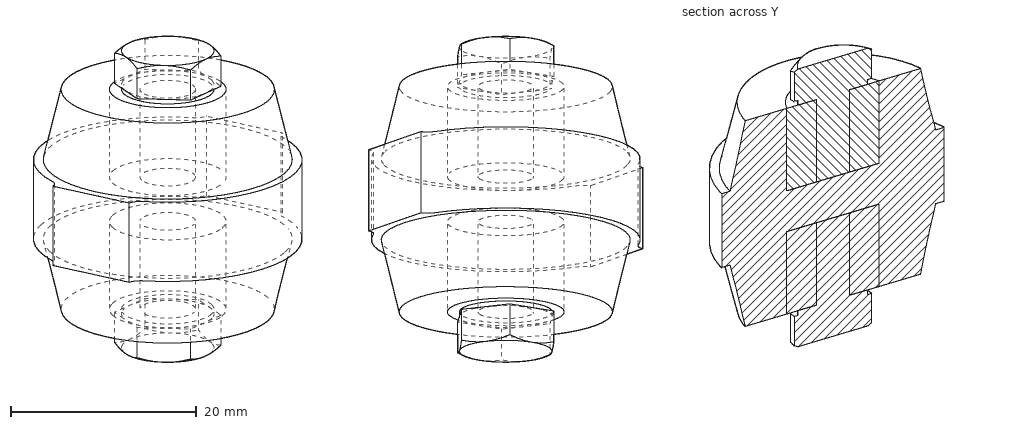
import cadquery as cq
import math


total_height = 33.75
housing_height = 25.0
end_diameter = 23.02
shoulder_diameter = 26.85
ring_diameter = 29.0
ring_height = 9.0

pad_width = 10.0
pad_blend_radius = 1.8

insert_diameter = 12.6
insert_length = 10.0
hex_across_flats = 10.0
collar_diameter = 10.0
collar_height = 0.5
shank_diameter = 6.0
head_chamfer_angle = 30.0

housing_top = housing_height / 2
ring_top = ring_height / 2
ring_radius = ring_diameter / 2
insert_bottom = housing_top - insert_length
head_bottom = housing_top + collar_height
head_top = total_height / 2
head_height = head_top - head_bottom
hex_across_corners = hex_across_flats / math.cos(math.radians(30))


def make_shoulders():
    """Double cone through the ring, narrow at both ends."""
    return (
        cq.Workplane("XZ")
        .moveTo(0, -housing_top)
        .lineTo(end_diameter / 2, -housing_top)
        .lineTo(shoulder_diameter / 2, -ring_top)
        .lineTo(shoulder_diameter / 2, ring_top)
        .lineTo(end_diameter / 2, housing_top)
        .lineTo(0, housing_top)
        .close()
        .revolve(360, (0, 0), (0, 1))
    )


def pad_blend():
    """Middle and end point of the blend arc beside the right edge of the +Y pad.

    The arc starts at the pad corner and runs tangent into the ring circle, so its
    centre is one blend radius from the corner and from the ring circle.
    """
    corner_x = pad_width / 2
    corner_y = ring_radius
    corner_reach = math.hypot(corner_x, corner_y)
    centre_reach = ring_radius + pad_blend_radius
    cosine = (corner_reach**2 + centre_reach**2 - pad_blend_radius**2) / (2 * corner_reach * centre_reach)
    centre_angle = math.atan2(corner_y, corner_x) - math.acos(cosine)
    centre_x = centre_reach * math.cos(centre_angle)
    centre_y = centre_reach * math.sin(centre_angle)

    start_angle = math.atan2(corner_y - centre_y, corner_x - centre_x) % (2 * math.pi)
    end_angle = centre_angle + math.pi
    middle_angle = (start_angle + end_angle) / 2
    middle = (
        centre_x + pad_blend_radius * math.cos(middle_angle),
        centre_y + pad_blend_radius * math.sin(middle_angle),
    )
    end = (ring_radius * math.cos(centre_angle), ring_radius * math.sin(centre_angle))
    return middle, end


def make_ring():
    """Round ring around the middle, with a flat pad on its -Y and +Y sides."""
    (middle_x, middle_y), (end_x, end_y) = pad_blend()
    corner_x = pad_width / 2
    return (
        cq.Workplane("XY")
        .workplane(offset=-ring_top)
        .moveTo(-corner_x, ring_radius)
        .lineTo(corner_x, ring_radius)
        .threePointArc((middle_x, middle_y), (end_x, end_y))
        .threePointArc((ring_radius, 0), (end_x, -end_y))
        .threePointArc((middle_x, -middle_y), (corner_x, -ring_radius))
        .lineTo(-corner_x, -ring_radius)
        .threePointArc((-middle_x, -middle_y), (-end_x, -end_y))
        .threePointArc((-ring_radius, 0), (-end_x, end_y))
        .threePointArc((-middle_x, middle_y), (-corner_x, ring_radius))
        .close()
        .extrude(ring_height)
    )


def make_housing():
    """Shoulders and ring in one piece, with a recess for the insert in each end."""
    body = make_shoulders().union(make_ring())
    for recess_bottom in (insert_bottom, -housing_top):
        recess = (
            cq.Workplane("XY")
            .workplane(offset=recess_bottom)
            .circle(insert_diameter / 2)
            .extrude(insert_length)
        )
        body = body.cut(recess)
    return body


def make_insert():
    """Bushing set flush in the top end, bored for the screw shank."""
    return (
        cq.Workplane("XY")
        .workplane(offset=insert_bottom)
        .circle(insert_diameter / 2)
        .circle(shank_diameter / 2)
        .extrude(insert_length)
    )


def make_head():
    """Hex head with corners on the Y axis, chamfered around its outer face."""
    prism = (
        cq.Workplane("XY")
        .workplane(offset=head_bottom)
        .transformed(rotate=(0, 0, 90))
        .polygon(6, hex_across_corners)
        .extrude(head_height)
    )
    flat_radius = hex_across_flats / 2
    spread = head_height / math.tan(math.radians(head_chamfer_angle))
    chamfer_cone = (
        cq.Workplane("XZ")
        .moveTo(0, head_bottom)
        .lineTo(flat_radius + spread, head_bottom)
        .lineTo(flat_radius, head_top)
        .lineTo(0, head_top)
        .close()
        .revolve(360, (0, 0), (0, 1))
    )
    return prism.intersect(chamfer_cone)


def make_screw():
    """Hex screw for the top end: head, round collar on the housing end, and shank."""
    collar = cq.Workplane("XY").workplane(offset=housing_top).circle(collar_diameter / 2).extrude(collar_height)
    shank = cq.Workplane("XY").workplane(offset=insert_bottom).circle(shank_diameter / 2).extrude(insert_length)
    return make_head().union(collar).union(shank)


housing = make_housing()

inserts = []
screws = []
for turn in (0, 180):
    inserts.append(make_insert().rotate((0, 0, 0), (1, 0, 0), turn))
    screws.append(make_screw().rotate((0, 0, 0), (1, 0, 0), turn))

result = cq.Compound.makeCompound(
    [
        housing.solids().val(),
        *[insert.solids().val() for insert in inserts],
        *[screw.solids().val() for screw in screws],
    ]
)